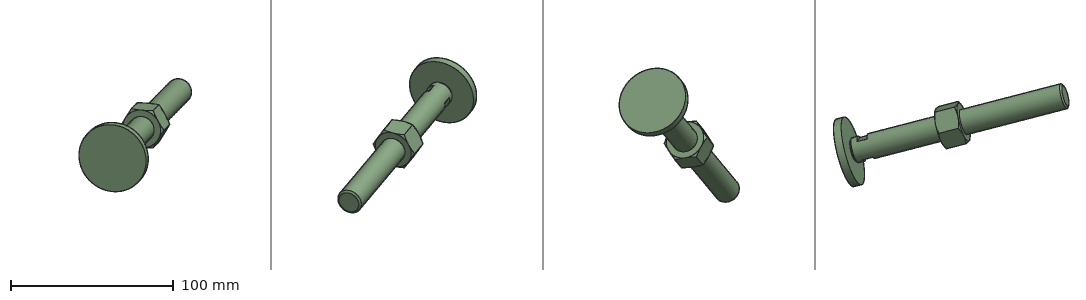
import cadquery as cq
import math

TOTAL_LENGTH = 143.5
DISC_DIAMETER = 43.0
DISC_THICKNESS = 5.0

ROD_DIAMETER = 16.0
ROD_RADIUS = ROD_DIAMETER / 2
FREE_END_CHAMFER_WIDTH = 1.3
FREE_END_CHAMFER_LENGTH = 1.0
FOOT_CHAMFER = 1.3
NECK_RADIUS = 5.7
NECK_LENGTH = 0.3

FLATS_START = 10.5
FLATS_LENGTH = 6.6
FLATS_SPACING = 12.0
FLATS_ANGLE = 30.0

NUT_ACROSS_FLATS = 24.1
NUT_HEIGHT = 14.8
NUT_START = 62.4
NUT_CHAMFER_ANGLE = 30.0


def revolve_about_y(profile_points):
    """Turn a closed outline of (radius, y) points around the Y axis."""
    profile = cq.Workplane("XY").polyline(profile_points).close()
    return profile.revolve(360, (0, 0, 0), (0, 1, 0))


def cylinder_along_y(radius, start, length):
    """Cylinder on the Y axis that begins at y = start."""
    return cq.Workplane("XZ", origin=(0, start, 0)).circle(radius).extrude(-length)


def make_disc():
    return cylinder_along_y(DISC_DIAMETER / 2, 0, DISC_THICKNESS)


def make_wrench_flat_cutters():
    """Two blocks that leave parallel flats on opposite sides of the rod."""
    cutters = cq.Workplane("XY")
    cutter_offset = (FLATS_SPACING + ROD_DIAMETER) / 2
    for side in (-1, 1):
        block = cq.Workplane("XY").box(ROD_DIAMETER, FLATS_LENGTH, 2 * ROD_DIAMETER)
        center_y = FLATS_START + FLATS_LENGTH / 2
        cutters = cutters.add(block.translate((side * cutter_offset, center_y, 0)))
    return cutters.rotate((0, 0, 0), (0, 1, 0), -FLATS_ANGLE)


def make_rod():
    """Rod with a short neck, a chamfer at each end and two wrench flats."""
    foot_radius = ROD_RADIUS - FOOT_CHAMFER
    neck_end = DISC_THICKNESS + NECK_LENGTH
    rod = revolve_about_y([
        (0, DISC_THICKNESS),
        (NECK_RADIUS, DISC_THICKNESS),
        (NECK_RADIUS, neck_end),
        (foot_radius, neck_end),
        (ROD_RADIUS, neck_end + FOOT_CHAMFER),
        (ROD_RADIUS, TOTAL_LENGTH - FREE_END_CHAMFER_LENGTH),
        (ROD_RADIUS - FREE_END_CHAMFER_WIDTH, TOTAL_LENGTH),
        (0, TOTAL_LENGTH),
    ])
    for cutter in make_wrench_flat_cutters().vals():
        rod = rod.cut(cq.Workplane(cutter))
    return rod


def make_nut():
    """Hexagon nut with corners on +X and -X, both ends chamfered conically."""
    corner_radius = NUT_ACROSS_FLATS / 2 / math.cos(math.radians(30))
    face_radius = NUT_ACROSS_FLATS / 2
    corner_drop = (corner_radius - face_radius) * math.tan(math.radians(NUT_CHAMFER_ANGLE))
    nut_end = NUT_START + NUT_HEIGHT

    hexagon = (
        cq.Workplane("XZ", origin=(0, NUT_START, 0))
        .polygon(6, 2 * corner_radius)
        .extrude(-NUT_HEIGHT)
    )
    chamfer_envelope = revolve_about_y([
        (0, NUT_START),
        (face_radius, NUT_START),
        (corner_radius, NUT_START + corner_drop),
        (corner_radius, nut_end - corner_drop),
        (face_radius, nut_end),
        (0, nut_end),
    ])
    bore = cylinder_along_y(ROD_RADIUS, NUT_START, NUT_HEIGHT)
    return hexagon.intersect(chamfer_envelope).cut(bore)


disc = make_disc()
rod = make_rod()
nut = make_nut()

result = cq.Compound.makeCompound([disc.val(), rod.val(), nut.val()])